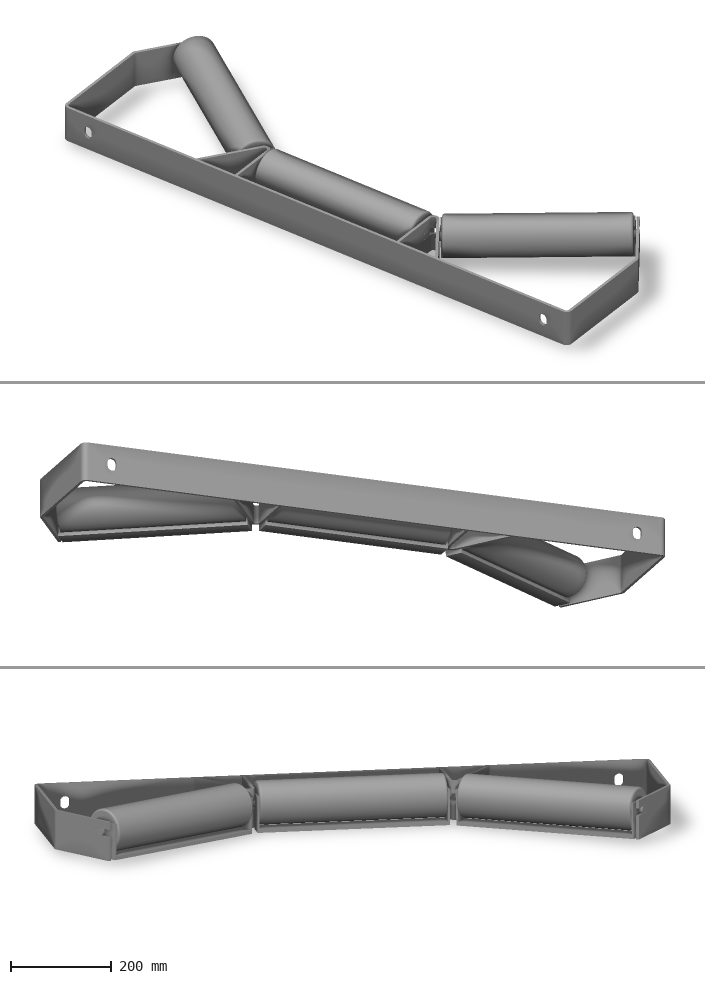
import cadquery as cq
import math

FRAME_LENGTH = 1240.0
STRIP_HEIGHT = 79.0
STRIP_THICKNESS = 6.0
BEND_RADIUS = 6.0
TROUGH_ANGLE = 35.0
FORWARD_TILT = 1.43

MOUNT_HOLE_X = 558.0
MOUNT_HOLE_WIDTH = 19.0
MOUNT_HOLE_LENGTH = 26.0

BAY = 390.0
ROLLER_DIAMETER = 88.0
ROLLER_LENGTH = 380.0
ROLLER_FILLET = 5.0
SHAFT_DIAMETER = 20.0
SHAFT_FLATS = 14.0
SLOT_HEIGHT = 15.0
ARM_REACH = 27.0

STRAP_WIDTH = 37.0
STRAP_LENGTH = 387.0
BAR_THICKNESS = 7.0
EAR_THICKNESS = 4.0
STRAP_DEPTH = 53.0
EAR_RISE = 20.0

CENTRE_ROLLER_Y = 99.0
CENTRE_ROLLER_Z = 6.0
SIDE_ROLLER_X = 385.0
SIDE_ROLLER_Y = 222.0
SIDE_ROLLER_Z = 11.0

COS = math.cos(math.radians(TROUGH_ANGLE))
SIN = math.sin(math.radians(TROUGH_ANGLE))
SHAFT_LENGTH = BAY + 2 * STRIP_THICKNESS
OUTER_BEND_RADIUS = BEND_RADIUS + STRIP_THICKNESS
SHAFT_RADIUS = SHAFT_DIAMETER / 2


def at_centre(shape):
    return shape.translate((0, CENTRE_ROLLER_Y, CENTRE_ROLLER_Z))


def at_side(shape):
    """Place on the +X side: outer end raised in Z, then inclined by the trough angle."""
    raised = shape.rotate((0, 0, 0), (0, 1, 0), -FORWARD_TILT)
    inclined = raised.rotate((0, 0, 0), (0, 0, 1), TROUGH_ANGLE)
    return inclined.translate((SIDE_ROLLER_X, SIDE_ROLLER_Y, SIDE_ROLLER_Z))


def mirrored(shape):
    return shape.mirror("YZ")


def side_point(along, across):
    """X, Y of a point given along and across the +X side roller axis."""
    return (SIDE_ROLLER_X + along * COS - across * SIN, SIDE_ROLLER_Y + along * SIN + across * COS)


def across_at_x(along, x):
    """Point at a given X on the line square to the side roller axis at `along`."""
    return side_point(along, ((SIDE_ROLLER_X + along * COS) - x) / SIN)


def across_at_y(along, y):
    """Point at a given Y on the line square to the side roller axis at `along`."""
    return side_point(along, (y - (SIDE_ROLLER_Y + along * SIN)) / COS)


def prism(points):
    return cq.Workplane("XY").polyline(points).close().extrude(STRIP_HEIGHT / 2, both=True)


def rounded_bend(strip, outer, inner):
    """Round the two edges of a strip bend at the given outer and inner corners."""
    for (x, y), radius in ((outer, OUTER_BEND_RADIUS), (inner, BEND_RADIUS)):
        edge = cq.selectors.NearestToPointSelector((x, y, 0))
        strip = strip.edges("|Z").edges(edge).fillet(radius)
    return strip


def shaft_slot(end):
    """Cutter from just under the shaft out past the strip end, at one end (-1 or 1) of a roller set."""
    depth = SHAFT_RADIUS + 2 * ARM_REACH
    through = 4 * STRIP_THICKNESS
    return (
        cq.Workplane("XY")
        .box(through, depth, SLOT_HEIGHT)
        .translate((end * (BAY + STRIP_THICKNESS) / 2, depth / 2 - SHAFT_RADIUS, 0))
    )


def make_frame():
    half = FRAME_LENGTH / 2
    inside = half - STRIP_THICKNESS
    face = BAY / 2
    back = face + STRIP_THICKNESS
    bend_out = across_at_x(back, half)
    bend_in = across_at_x(face, inside)
    right = [
        (half, 0),
        bend_out,
        side_point(back, ARM_REACH),
        side_point(face, ARM_REACH),
        bend_in,
        (inside, STRIP_THICKNESS),
    ]
    left = [(-x, y) for x, y in reversed(right)]
    frame = prism(right + left)
    for side in (1, -1):
        frame = rounded_bend(frame, (side * half, 0), (side * inside, STRIP_THICKNESS))
        frame = rounded_bend(frame, (side * bend_out[0], bend_out[1]), (side * bend_in[0], bend_in[1]))
    holes = (
        cq.Workplane("XZ")
        .pushPoints([(-MOUNT_HOLE_X, 0), (MOUNT_HOLE_X, 0)])
        .slot2D(MOUNT_HOLE_LENGTH, MOUNT_HOLE_WIDTH, 90)
        .extrude(STRIP_THICKNESS, both=True)
    )
    slot = at_side(shaft_slot(1))
    return frame.cut(holes).cut(slot).cut(mirrored(slot))


def make_bracket():
    """Inverted V strip on the +X side: an upright leg and a leg square to the side roller."""
    near = BAY / 2
    far = near + STRIP_THICKNESS
    face = -BAY / 2
    back = face - STRIP_THICKNESS
    foot = STRIP_THICKNESS
    peak_out = across_at_x(face, near)
    peak_in = across_at_x(back, far)
    bracket = prism([
        (near, foot),
        peak_out,
        across_at_y(face, foot),
        across_at_y(back, foot),
        peak_in,
        (far, foot),
    ])
    bracket = rounded_bend(bracket, peak_out, peak_in)
    return bracket.cut(at_centre(shaft_slot(1))).cut(at_side(shaft_slot(-1)))


def cylinder(diameter, length):
    return cq.Workplane("YZ", origin=(-length / 2, 0, 0)).circle(diameter / 2).extrude(length)


def make_roller():
    """Roller with its shaft; the shaft ends are flattened above and below."""
    shell = cylinder(ROLLER_DIAMETER, ROLLER_LENGTH).edges().fillet(ROLLER_FILLET)
    flats = cq.Workplane("XY").box(SHAFT_LENGTH, SHAFT_DIAMETER, SHAFT_FLATS)
    flat_ends = cylinder(SHAFT_DIAMETER, SHAFT_LENGTH).intersect(flats)
    return shell.union(cylinder(SHAFT_DIAMETER, STRAP_LENGTH)).union(flat_ends)


def make_strap():
    """U-shaped strap under the roller; its ears are notched around the shaft."""
    top = EAR_RISE
    bottom = -STRAP_DEPTH
    floor = bottom + BAR_THICKNESS
    outer = STRAP_LENGTH / 2
    inner = outer - EAR_THICKNESS
    strap = (
        cq.Workplane("XZ")
        .polyline([
            (-outer, top), (-outer, bottom), (outer, bottom), (outer, top),
            (inner, top), (inner, floor), (-inner, floor), (-inner, top),
        ])
        .close()
        .extrude(-STRAP_WIDTH)
    )
    return strap.cut(cylinder(SHAFT_DIAMETER, SHAFT_LENGTH))


def three_places(shape):
    side = at_side(shape)
    return [at_centre(shape).val(), side.val(), mirrored(side).val()]


frame = make_frame()
bracket = make_bracket()
brackets = [bracket.val(), mirrored(bracket).val()]
rollers = three_places(make_roller())
straps = three_places(make_strap())

result = cq.Compound.makeCompound([frame.val(), *brackets, *rollers, *straps])